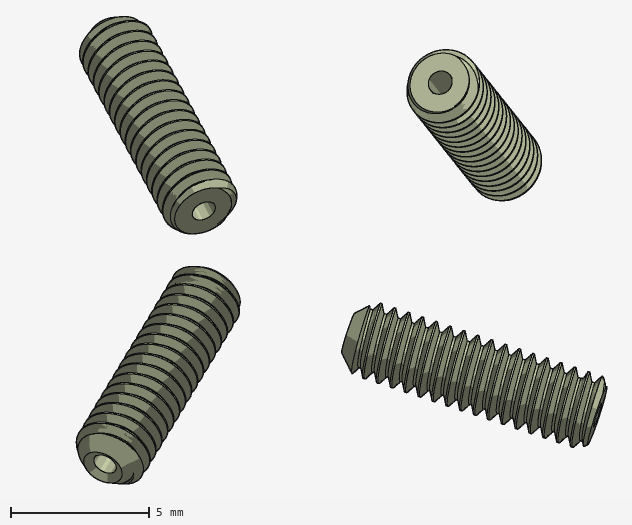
import cadquery as cq
import math

length = 9.53
crest_radius = 2.79 / 2
root_radius = 2.16 / 2
bore_radius = 0.45
point_radius = 0.76
tail_radius = 1.13

turns_in_length = 18
pitch = length / turns_in_length
crest_flat = pitch / 8
half_flank_angle = math.radians(30)
first_groove = 0.39
groove_lead_turns = 2
groove_extra_turns = 3
groove_overshoot = 0.03
rod_overhang = 4 * pitch

cup_half_angle = math.radians(59)
point_cone_length = crest_radius - point_radius
tail_chamfer_length = crest_radius - tail_radius
cup_depth = (point_radius - bore_radius) / math.tan(cup_half_angle)


def make_blank():
    """Revolve the unthreaded screw, bore and cup included, about Z."""
    half_section = [
        (bore_radius, cup_depth),
        (point_radius, 0),
        (crest_radius, point_cone_length),
        (crest_radius, length - tail_chamfer_length),
        (tail_radius, length),
        (bore_radius, length),
    ]
    return cq.Workplane("XZ").polyline(half_section).close().revolve(360, (0, 0), (0, 1))


def make_groove():
    """Sweep the thread groove about Z, running out past both ends."""
    start = first_groove - groove_lead_turns * pitch
    helix_length = (turns_in_length + groove_extra_turns) * pitch
    cutter_radius = crest_radius + groove_overshoot
    half_width_at_crest = (pitch - crest_flat) / 2
    flank_slope = math.tan(half_flank_angle)
    half_root = half_width_at_crest - (crest_radius - root_radius) * flank_slope
    half_mouth = half_width_at_crest + groove_overshoot * flank_slope

    profile = (
        cq.Workplane("XZ")
        .polyline([
            (root_radius, -half_root),
            (cutter_radius, -half_mouth),
            (cutter_radius, half_mouth),
            (root_radius, half_root),
        ])
        .close()
    )
    helix = cq.Wire.makeHelix(pitch, helix_length, root_radius)
    return profile.sweep(cq.Workplane(helix), isFrenet=True).translate((0, 0, start))


def make_threaded_rod():
    """Cut the groove into a rod longer than the groove, so that it runs out inside solid material."""
    rod = (
        cq.Workplane("XY")
        .workplane(offset=-rod_overhang)
        .circle(crest_radius)
        .extrude(length + 2 * rod_overhang)
    )
    return rod.cut(make_groove())


screw = make_threaded_rod().intersect(make_blank())

result = screw.rotate((0, 0, 0), (0, 1, 0), 90)